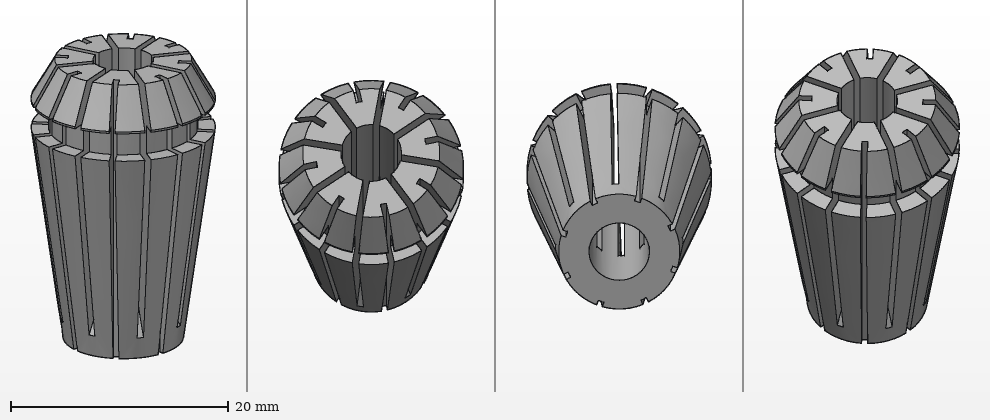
import cadquery as cq
import math

length = 27.5
max_radius = 8.5
bore_radius = 2.78

body_height = 20.8
body_half_angle = 8.0
bottom_radius = max_radius - body_height * math.tan(math.radians(body_half_angle))

groove_height = 2.72
groove_radius = 6.9
rim_height = 0.2
head_half_angle = 30.0
groove_top = body_height + groove_height
rim_top = groove_top + rim_height
top_radius = max_radius - (length - rim_top) * math.tan(math.radians(head_half_angle))

slots_per_set = 8
slot_pitch = 360.0 / slots_per_set
top_slot_width = 0.6
saw_radius = 22.28
saw_center_radius = 23.2
saw_center_height = 16.12

side_slot_width = 0.55
side_slot_floor_radius = 5.12

cut_margin = 0.55
cut_radius = max_radius + cut_margin


def collet_blank():
    """Revolve the tapered body, groove, head and bore about Z."""
    profile = [
        (bore_radius, 0),
        (bottom_radius, 0),
        (max_radius, body_height),
        (groove_radius, body_height),
        (groove_radius, groove_top),
        (max_radius, groove_top),
        (max_radius, rim_top),
        (top_radius, length),
        (bore_radius, length),
    ]
    return cq.Workplane("XZ").polyline(profile).close().revolve(360, (0, 0), (0, 1))


def top_slot_cutter():
    """One slot along +X, open at the top, whose floor follows a quarter of the saw's circle."""
    cut_top = length + cut_margin
    return (
        cq.Workplane("XZ")
        .moveTo(saw_center_radius, saw_center_height - saw_radius)
        .lineTo(saw_center_radius, cut_top)
        .lineTo(saw_center_radius - saw_radius, cut_top)
        .lineTo(saw_center_radius - saw_radius, saw_center_height)
        .radiusArc((saw_center_radius, saw_center_height - saw_radius), -saw_radius)
        .close()
        .extrude(top_slot_width / 2, both=True)
    )


def side_slot_cutter():
    """One straight full-length slot along +X, open at the outside only."""
    return cq.Workplane("XY").box(
        cut_radius - side_slot_floor_radius,
        side_slot_width,
        length + 2 * cut_margin,
        centered=(False, True, False),
    ).translate((side_slot_floor_radius, 0, -cut_margin))


result = collet_blank()
for index in range(slots_per_set):
    angle = index * slot_pitch
    result = result.cut(top_slot_cutter().rotate((0, 0, 0), (0, 0, 1), angle))
    result = result.cut(side_slot_cutter().rotate((0, 0, 0), (0, 0, 1), angle + slot_pitch / 2))